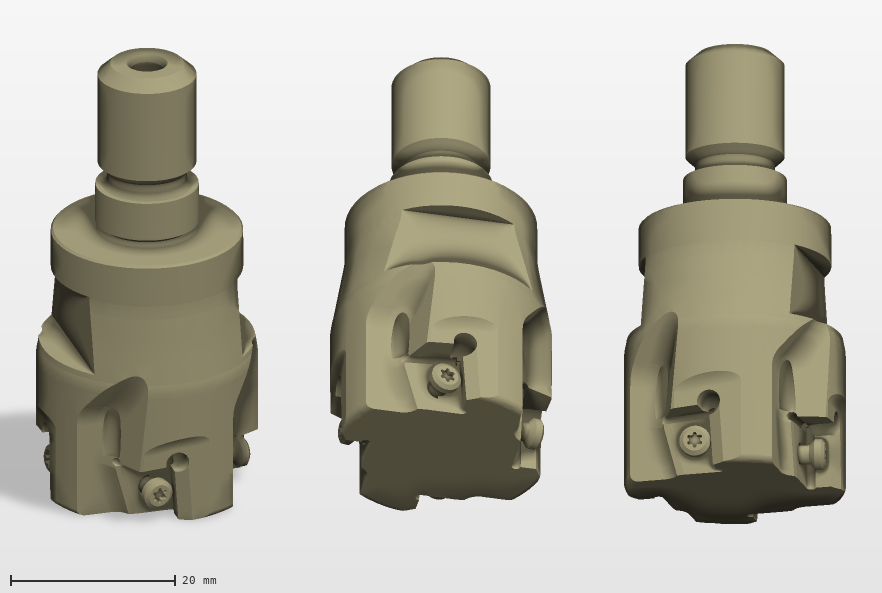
import cadquery as cq
import math

TEETH = 4

BODY_R = 13.5
BODY_EDGE_R = 0.9
BODY_TOP = 16.95
BODY_BLEND_R = 13.3
BODY_BLEND_TOP = 18.7
BODY_BLEND_MID = (13.45, 17.85)
TAPER_END_R = 11.9
TAPER_END = 26.9
COLLAR_R = 11.7
COLLAR_START = 28.55
COLLAR_BLEND_MID = (11.8, 27.75)
COLLAR_TOP = 33.9
COLLAR_CHAMFER = 0.3

NECK_FOOT_R = 6.25
NECK_R = 5.9
NECK_WAIST_R = 5.5
NECK_WAIST = 34.4
PILOT_START = 34.95
PILOT_R = 6.3
PILOT_TOP = 39.85
UNDERCUT_BLEND_R = 5.45
UNDERCUT_BLEND_MID = (4.95, 40.2)
UNDERCUT_R = 4.85
UNDERCUT_START = 40.7
UNDERCUT_END = 41.7
THREAD_R = 6.0
THREAD_START = 42.75
TOTAL_HEIGHT = 55.8
TIP_CHAMFER_R = 4.45
TIP_CHAMFER_HEIGHT = 1.4

BORE_R = 1.95
BORE_MOUTH_R = 2.5
BORE_MOUTH_DEPTH = 0.8
BORE_DEPTH = 13.4
DRILL_TIP_HALF_ANGLE = 59.0

FLAT_OFFSET = 9.4
FLAT_BOTTOM = 19.35
FLAT_TOP = 28.8

FLOOR_OFFSET = 7.65
FLOOR_TOP = 12.15
RUNOUT_R = 4.45
CEILING_ANGLE = 56.0
WALL_X = -7.0
WALL_Z = 7.8
WALL_ANGLE = 25.0
WALL_LEAN = 4.3
FLUTE_FILLET = 2.55

TROUGH_ANGLE = 15.0
TROUGH_WALL_X = -4.7
TROUGH_WIDTH = 4.45
TROUGH_FILLET = 2.1
EDGE_BEVEL_WIDTH = 0.65
EDGE_BEVEL_ANGLE = 8.0

OUTLET_R = 1.2
OUTLET_X = -7.35
OUTLET_OFFSET = 8.9
OUTLET_Z = 7.9
OUTLET_ANGLE = 17.0

SEAT_OFFSET = 8.95
SEAT_TOP = 7.6
SEAT_RAKE = 4.0
SEAT_WALL_X = 0.45
SEAT_LENGTH = 12.3
SEAT_GROOVE_R = 0.55
SIDE_BEVEL_OFFSET = 11.95
SIDE_BEVEL_ANGLE = 30.0
CORNER_RELIEF_R = 1.45
CORNER_RELIEF_X = 0.1
CORNER_RELIEF_Z = 7.85
CORNER_RELIEF_OFFSET = 10.6

CLEARANCE_OFFSET = 12.85
CLEARANCE_TOP = 9.65
CLEARANCE_FILLET = 2.25
CLEARANCE_RAKE = 7.0
CLEARANCE_WIDTH = 13.4

SCREW_X = -2.4
SCREW_Z = 3.4
SCREW_TILT = 10.0
SCREW_DEPTH = 4.45
SHANK_R = 1.15
COUNTERSINK_R = 1.6
HEAD_START = 1.1
HEAD_CONE_END = 1.8
HEAD_RIM_END = 2.6
HEAD_TOP = 3.0
HEAD_R = 1.9
HEAD_FACE_R = 1.4
SOCKET_LOBES = 6
SOCKET_TIP_R = 1.0
SOCKET_ROOT_R = 0.65
SOCKET_DEPTH = 0.85

REACH = 33.5
OVERRUN = 5.6


def around_axis(shape):
    """Copies of a -Y side shape, one per tooth."""
    return [shape.rotate((0, 0, 0), (0, 0, 1), 360.0 / TEETH * i) for i in range(TEETH)]


def make_blank():
    profile = (
        cq.Workplane("XZ")
        .lineTo(BODY_R, 0)
        .lineTo(BODY_R, BODY_TOP)
        .threePointArc(BODY_BLEND_MID, (BODY_BLEND_R, BODY_BLEND_TOP))
        .lineTo(TAPER_END_R, TAPER_END)
        .threePointArc(COLLAR_BLEND_MID, (COLLAR_R, COLLAR_START))
        .lineTo(COLLAR_R, COLLAR_TOP - COLLAR_CHAMFER)
        .lineTo(COLLAR_R - COLLAR_CHAMFER, COLLAR_TOP)
        .lineTo(NECK_FOOT_R, COLLAR_TOP)
        .lineTo(NECK_WAIST_R, NECK_WAIST)
        .lineTo(NECK_R, PILOT_START)
        .lineTo(PILOT_R, PILOT_START)
        .lineTo(PILOT_R, PILOT_TOP)
        .lineTo(UNDERCUT_BLEND_R, PILOT_TOP)
        .threePointArc(UNDERCUT_BLEND_MID, (UNDERCUT_R, UNDERCUT_START))
        .lineTo(UNDERCUT_R, UNDERCUT_END)
        .lineTo(THREAD_R, THREAD_START)
        .lineTo(THREAD_R, TOTAL_HEIGHT - TIP_CHAMFER_HEIGHT)
        .lineTo(TIP_CHAMFER_R, TOTAL_HEIGHT)
        .lineTo(0, TOTAL_HEIGHT)
        .close()
    )
    blank = profile.revolve(360, (0, 0, 0), (0, 1, 0))
    return blank.faces("<Z").edges().fillet(BODY_EDGE_R)


def make_bore():
    bore_bottom = TOTAL_HEIGHT - BORE_DEPTH
    tip_height = BORE_R / math.tan(math.radians(DRILL_TIP_HALF_ANGLE))
    return (
        cq.Workplane("XZ")
        .moveTo(0, bore_bottom - tip_height)
        .lineTo(BORE_R, bore_bottom)
        .lineTo(BORE_R, TOTAL_HEIGHT - BORE_MOUTH_DEPTH)
        .lineTo(BORE_MOUTH_R, TOTAL_HEIGHT)
        .lineTo(0, TOTAL_HEIGHT)
        .close()
        .revolve(360, (0, 0, 0), (0, 1, 0))
    )


def make_wrench_flat(side):
    depth = BODY_R - FLAT_OFFSET + OVERRUN
    height = FLAT_TOP - FLAT_BOTTOM
    middle_y = side * (FLAT_OFFSET + depth / 2)
    return cq.Workplane("XY").box(REACH, depth, height).translate((0, middle_y, FLAT_BOTTOM + height / 2))


def side_profile():
    """Sketch plane seen from -X: first coordinate is the distance towards -Y, second is Z."""
    return cq.Workplane(cq.Plane((0, 0, 0), xDir=(0, -1, 0), normal=(-1, 0, 0)))


def make_flute():
    turn = math.radians(90 - CEILING_ANGLE)
    half_turn = turn / 2
    runout_mid = (
        FLOOR_OFFSET + RUNOUT_R * (1 - math.cos(half_turn)),
        FLOOR_TOP + RUNOUT_R * math.sin(half_turn),
    )
    runout_end = (
        FLOOR_OFFSET + RUNOUT_R * (1 - math.cos(turn)),
        FLOOR_TOP + RUNOUT_R * math.sin(turn),
    )
    outside = BODY_R + OVERRUN
    ceiling_end = runout_end[1] + (outside - runout_end[0]) * math.tan(math.radians(CEILING_ANGLE))
    sweep = (
        side_profile()
        .moveTo(FLOOR_OFFSET, -OVERRUN)
        .lineTo(FLOOR_OFFSET, FLOOR_TOP)
        .threePointArc(runout_mid, runout_end)
        .lineTo(outside, ceiling_end)
        .lineTo(outside, -OVERRUN)
        .close()
        .extrude(REACH / 2, both=True)
    )
    kept_metal = (
        cq.Workplane("XY")
        .box(REACH, 2 * REACH, 3 * REACH)
        .translate((REACH / 2, 0, 0))
        .rotate((0, 0, 0), (0, 1, 0), WALL_LEAN)
        .rotate((0, 0, 0), (0, 0, 1), WALL_ANGLE)
        .translate((WALL_X, -FLOOR_OFFSET, WALL_Z))
    )
    flute = sweep.cut(kept_metal)
    corner = cq.selectors.BoxSelector(
        (WALL_X - OVERRUN, -BODY_R, -OVERRUN / 2), (0, 0, TOTAL_HEIGHT / 2), boundingbox=False
    )
    return flute.faces(">X").edges(corner).fillet(FLUTE_FILLET)


def make_trough():
    depth = BODY_R
    channel = (
        cq.Workplane("XY")
        .box(TROUGH_WIDTH, depth, REACH)
        .edges("|Z and >Y and >X")
        .fillet(TROUGH_FILLET)
        .translate((-TROUGH_WIDTH / 2, -FLOOR_OFFSET - depth / 2, 0))
    )
    edge_bevel = (
        cq.Workplane("XY")
        .box(TROUGH_WIDTH, depth, REACH)
        .translate((-TROUGH_WIDTH / 2, -depth / 2, 0))
        .rotate((0, 0, 0), (0, 0, 1), -EDGE_BEVEL_ANGLE)
        .translate((EDGE_BEVEL_WIDTH, -SEAT_OFFSET, 0))
    )
    below_seat_top = (
        cq.Workplane("XY").box(REACH, 2 * REACH, REACH).translate((0, 0, SEAT_TOP - SEAT_GROOVE_R - REACH / 2))
    )
    return (
        channel.union(edge_bevel)
        .rotate((0, 0, 0), (0, 1, 0), -TROUGH_ANGLE)
        .translate((TROUGH_WALL_X, 0, 0))
        .intersect(below_seat_top)
    )


def make_coolant_outlet():
    start = cq.Vector(OUTLET_X, -OUTLET_OFFSET, OUTLET_Z)
    radius = math.hypot(OUTLET_X, OUTLET_OFFSET)
    length = radius / math.sin(math.radians(OUTLET_ANGLE))
    rise = radius / math.tan(math.radians(OUTLET_ANGLE))
    direction = cq.Vector(-OUTLET_X, OUTLET_OFFSET, rise)
    return cq.Workplane(cq.Solid.makeCylinder(OUTLET_R, length, start, direction))


def make_insert_pocket():
    depth = BODY_R
    height = SEAT_TOP + OVERRUN
    pocket = (
        cq.Workplane("XY")
        .box(SEAT_LENGTH, depth, height)
        .translate((SEAT_WALL_X - SEAT_LENGTH / 2, -SEAT_OFFSET - depth / 2, SEAT_TOP - height / 2))
    )
    bevel = (
        cq.Workplane("XY")
        .box(SEAT_LENGTH, depth, height)
        .translate((-SEAT_LENGTH / 2, -depth / 2, SEAT_TOP - height / 2))
        .rotate((0, 0, 0), (0, 0, 1), 90 - SIDE_BEVEL_ANGLE)
        .translate((SEAT_WALL_X, -SIDE_BEVEL_OFFSET, 0))
    )
    ceiling_groove = cq.Workplane(
        cq.Solid.makeCylinder(
            SEAT_GROOVE_R,
            SEAT_LENGTH,
            cq.Vector(SEAT_WALL_X - SEAT_LENGTH, -SEAT_OFFSET, SEAT_TOP),
            cq.Vector(1, 0, 0),
        )
    )
    wall_groove = cq.Workplane(
        cq.Solid.makeCylinder(
            SEAT_GROOVE_R,
            height,
            cq.Vector(SEAT_WALL_X, -SEAT_OFFSET - SEAT_GROOVE_R, SEAT_TOP - height),
            cq.Vector(0, 0, 1),
        )
    )
    pocket = pocket.union(bevel).union(ceiling_groove).union(wall_groove)
    return pocket.rotate((0, 0, 0), (0, 1, 0), -SEAT_RAKE)


def make_corner_relief():
    """Ball-ended recess at the upper inner corner of the insert."""
    centre = cq.Vector(CORNER_RELIEF_X, -CORNER_RELIEF_OFFSET, CORNER_RELIEF_Z)
    shaft = cq.Workplane(cq.Solid.makeCylinder(CORNER_RELIEF_R, BODY_R, centre, cq.Vector(0, -1, 0)))
    ball = cq.Workplane("XY").sphere(CORNER_RELIEF_R).translate(centre.toTuple())
    return shaft.union(ball)


def make_clearance():
    outside = CLEARANCE_OFFSET + CLEARANCE_FILLET
    rounded_top = CLEARANCE_TOP + CLEARANCE_FILLET
    return (
        side_profile()
        .moveTo(CLEARANCE_OFFSET, -OVERRUN)
        .lineTo(CLEARANCE_OFFSET, CLEARANCE_TOP)
        .radiusArc((outside, rounded_top), CLEARANCE_FILLET)
        .lineTo(outside, -OVERRUN)
        .close()
        .extrude(CLEARANCE_WIDTH / 2, both=True)
        .rotate((0, 0, 0), (0, 1, 0), -CLEARANCE_RAKE)
    )


def screw_plane():
    tilt = math.radians(SCREW_TILT)
    return cq.Plane((SCREW_X, -SEAT_OFFSET, SCREW_Z), xDir=(0, 0, 1), normal=(math.sin(tilt), -math.cos(tilt), 0))


def make_socket():
    step = 180.0 / SOCKET_LOBES

    def point(radius, index):
        angle = math.radians(index * step)
        return (radius * math.cos(angle), radius * math.sin(angle))

    middle_r = (SOCKET_TIP_R + SOCKET_ROOT_R) / 2
    outline = cq.Workplane(screw_plane()).workplane(offset=HEAD_TOP - SOCKET_DEPTH).moveTo(*point(middle_r, -0.5))
    for lobe in range(SOCKET_LOBES):
        first = 2 * lobe
        outline = outline.threePointArc(point(SOCKET_TIP_R, first), point(middle_r, first + 0.5))
        outline = outline.threePointArc(point(SOCKET_ROOT_R, first + 1), point(middle_r, first + 1.5))
    return outline.close().extrude(SOCKET_DEPTH)


def make_screw():
    screw = (
        cq.Workplane(screw_plane())
        .workplane(offset=-SCREW_DEPTH)
        .circle(SHANK_R)
        .extrude(SCREW_DEPTH + HEAD_TOP)
    )
    plane = screw_plane()
    profile_plane = cq.Plane(plane.origin, xDir=plane.xDir, normal=plane.yDir.multiply(-1))
    head = (
        cq.Workplane(profile_plane)
        .moveTo(0, HEAD_START)
        .lineTo(SHANK_R, HEAD_START)
        .lineTo(HEAD_R, HEAD_CONE_END)
        .lineTo(HEAD_R, HEAD_RIM_END)
        .lineTo(HEAD_FACE_R, HEAD_TOP)
        .lineTo(0, HEAD_TOP)
        .close()
        .revolve(360, (0, 0, 0), (0, 1, 0))
    )
    return screw.union(head).cut(make_socket())


def make_screw_countersink():
    """Conical mouth of the screw hole at the seat."""
    plane = screw_plane()
    depth = COUNTERSINK_R - SHANK_R
    return cq.Workplane(
        cq.Solid.makeCone(COUNTERSINK_R, SHANK_R, depth, plane.origin, plane.zDir.multiply(-1))
    )


def make_body(screws):
    body = make_blank().cut(make_bore())
    for side in (-1, 1):
        body = body.cut(make_wrench_flat(side))
    cutters = [
        make_clearance(),
        make_flute(),
        make_trough(),
        make_insert_pocket(),
        make_corner_relief(),
        make_coolant_outlet(),
        make_screw_countersink(),
    ]
    for cutter in cutters:
        for copy in around_axis(cutter):
            body = body.cut(copy)
    for screw in screws:
        body = body.cut(screw)
    return body


clamp_screws = around_axis(make_screw())
cutter_body = make_body(clamp_screws)

result = cq.Compound.makeCompound([cutter_body.val(), *[screw.val() for screw in clamp_screws]])